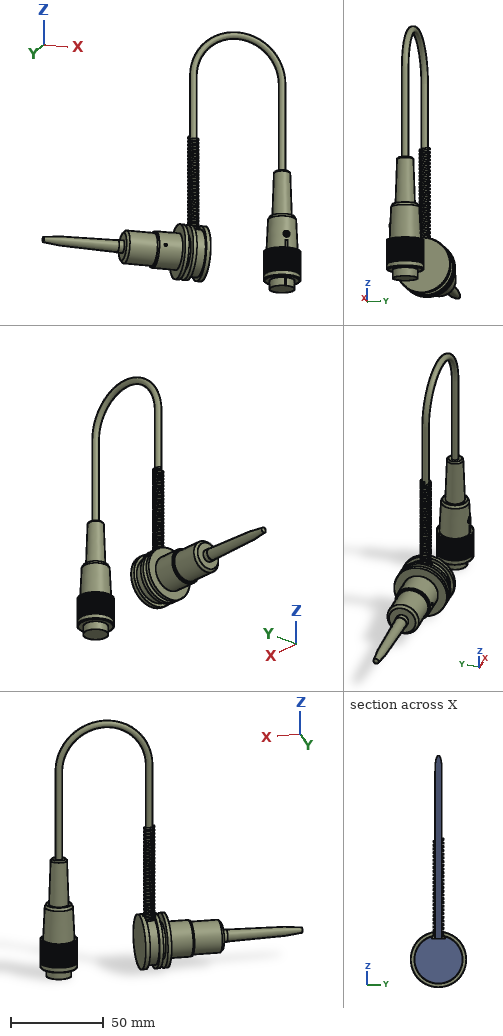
import cadquery as cq
import math


TIP_DIA = 3.0
TIP_DOME_HEIGHT = 0.5
POINT_LENGTH = 10.0
POINT_DIA = 5.0
TAPER_END_X = 42.1
TAPER_END_DIA = 6.7
SHANK_DIA = 7.0

NOSE_X = 45.0
NOSE_DIA = 18.0
NOSE_CHAMFER = 1.5
BARREL_X = 61.9
BARREL_DIA = 20.0
BARREL_CHAMFER_LENGTH = 0.9
BARREL_CHAMFER = 0.3
FLANGE_DIA = 30.0
DRUM_DIA = 26.0
FRONT_FLANGE_X = 75.8
MIDDLE_FLANGE_X = 80.3
THIN_FLANGE = 2.0
REAR_FLANGE_X = 87.7
HANDLE_END_X = 90.1
MARK_HOLE_DIA = 1.5
MARK_HOLE_X = 66.3
MARK_HOLE_DEPTH = 1.5

CABLE_DIA = 3.8
CABLE_X = 84.8
WIRE_DIA = 1.0
SPRING_GAP = 0.03
SPRING_PITCH = 2 * WIRE_DIA
SPRING_TOP_Z = 65.5
SOCKET_DIA = 7.0
SOCKET_FLOOR_Z = 11.3
CABLE_TOP_Z = 126.7

OVERALL_LENGTH = 144.7
NUT_DIA = 20.0
PLUG_X = OVERALL_LENGTH - NUT_DIA / 2
PLUG_BOTTOM_Z = -15.8
SPIGOT_DIA = 13.6
SHELL_BASE_Z = 4.9
SHELL_BASE_DIA = 17.1
SHELL_TOP_Z = 24.7
SHELL_EDGE_DIA = 15.3
SHELL_TOP_DIA = 13.6
SHELL_EDGE_DROP = 1.6
TAIL_BASE_DIA = 10.7
TAIL_TOP_Z = 50.4
TAIL_EDGE_DIA = 9.0
TAIL_TOP_DIA = 7.2
TAIL_EDGE_DROP = 0.9
CABLE_ENTRY_DEPTH = 2.9
KEY_WIDTH = 0.6
KEY_DEPTH = 0.6
KEY_BOTTOM_Z = -15.0
POINTER_WIDTH = 1.2
POINTER_TOP_Z = 9.5
POINTER_DEPTH = 0.5
SCREW_DIA = 3.5
SCREW_Z = 13.0
SCREW_RISE = 0.1
SCREW_SLOT = 0.7
SCREW_SLOT_DEPTH = 0.5
SCREW_LENGTH = 4.3

NUT_BOTTOM_Z = -11.1
NUT_CHAMFER = 0.6
KNURL_BOTTOM_Z = -8.1
KNURL_COUNT = 84
KNURL_DEPTH = 0.22
PLAIN_STRIP_TOP_Z = 3.6

CABLE_RADIUS = CABLE_DIA / 2
BEND_RADIUS = (PLUG_X - CABLE_X) / 2
BEND_Z = CABLE_TOP_Z - CABLE_RADIUS - BEND_RADIUS


def make_probe():
    dome_radius = ((TIP_DIA / 2) ** 2 + TIP_DOME_HEIGHT**2) / (2 * TIP_DOME_HEIGHT)
    half_angle = math.asin(TIP_DIA / 2 / dome_radius) / 2
    dome_middle = (dome_radius * (1 - math.cos(half_angle)), dome_radius * math.sin(half_angle))
    profile = (
        cq.Workplane("XY")
        .threePointArc(dome_middle, (TIP_DOME_HEIGHT, TIP_DIA / 2))
        .lineTo(POINT_LENGTH, POINT_DIA / 2)
        .lineTo(TAPER_END_X, TAPER_END_DIA / 2)
        .lineTo(TAPER_END_X, SHANK_DIA / 2)
        .lineTo(NOSE_X, SHANK_DIA / 2)
        .lineTo(NOSE_X, 0)
        .close()
    )
    return profile.revolve(360, (0, 0, 0), (1, 0, 0))


def x_cylinder(diameter, start, end):
    return cq.Workplane("YZ", origin=(start, 0, 0)).circle(diameter / 2).extrude(end - start)


def z_cylinder(x, diameter, bottom, top):
    return cq.Workplane("XY", origin=(x, 0, bottom)).circle(diameter / 2).extrude(top - bottom)


def make_handle():
    nose = x_cylinder(NOSE_DIA, NOSE_X, BARREL_X).faces("<X").chamfer(NOSE_CHAMFER)
    barrel = x_cylinder(BARREL_DIA, BARREL_X, HANDLE_END_X)
    barrel = barrel.faces("<X").chamfer(BARREL_CHAMFER_LENGTH, BARREL_CHAMFER)
    handle = nose.union(barrel)
    handle = handle.union(x_cylinder(DRUM_DIA, MIDDLE_FLANGE_X, HANDLE_END_X))
    for start in (FRONT_FLANGE_X, MIDDLE_FLANGE_X):
        handle = handle.union(x_cylinder(FLANGE_DIA, start, start + THIN_FLANGE))
    handle = handle.union(x_cylinder(FLANGE_DIA, REAR_FLANGE_X, HANDLE_END_X))

    handle = handle.cut(z_cylinder(CABLE_X, SOCKET_DIA, SOCKET_FLOOR_Z, FLANGE_DIA / 2))

    mark_hole = (
        cq.Workplane("XZ", origin=(MARK_HOLE_X, -BARREL_DIA / 2, 0))
        .circle(MARK_HOLE_DIA / 2)
        .extrude(-MARK_HOLE_DEPTH)
    )
    return handle.cut(mark_hole)


def make_cable():
    path = (
        cq.Workplane("XZ", origin=(CABLE_X, 0, 0))
        .moveTo(0, SOCKET_FLOOR_Z)
        .lineTo(0, BEND_Z)
        .threePointArc((BEND_RADIUS, BEND_Z + BEND_RADIUS), (2 * BEND_RADIUS, BEND_Z))
        .lineTo(2 * BEND_RADIUS, TAIL_TOP_Z - CABLE_ENTRY_DEPTH)
    )
    start = cq.Workplane("XY", origin=(CABLE_X, 0, SOCKET_FLOOR_Z))
    return start.circle(CABLE_RADIUS).sweep(path)


def make_spring():
    wire_radius = WIRE_DIA / 2
    coil_radius = CABLE_RADIUS + SPRING_GAP + wire_radius
    top = SPRING_TOP_Z - wire_radius
    bottom = SOCKET_FLOOR_Z + wire_radius + SPRING_GAP
    height = top - bottom
    helix = cq.Wire.makeHelix(SPRING_PITCH, height, coil_radius)
    section = cq.Workplane("XZ").center(coil_radius, 0).circle(wire_radius)
    spring = section.sweep(cq.Workplane(obj=helix), isFrenet=True)
    turn = 180 - 360 * height / SPRING_PITCH
    return spring.rotate((0, 0, 0), (0, 0, 1), turn).translate((CABLE_X, 0, bottom))


def make_plug():
    profile = [
        (0, PLUG_BOTTOM_Z),
        (SPIGOT_DIA / 2, PLUG_BOTTOM_Z),
        (SPIGOT_DIA / 2, SHELL_BASE_Z),
        (SHELL_BASE_DIA / 2, SHELL_BASE_Z),
        (SHELL_EDGE_DIA / 2, SHELL_TOP_Z - SHELL_EDGE_DROP),
        (SHELL_TOP_DIA / 2, SHELL_TOP_Z),
        (TAIL_BASE_DIA / 2, SHELL_TOP_Z),
        (TAIL_EDGE_DIA / 2, TAIL_TOP_Z - TAIL_EDGE_DROP),
        (TAIL_TOP_DIA / 2, TAIL_TOP_Z),
        (0, TAIL_TOP_Z),
    ]
    plug = cq.Workplane("XZ").polyline(profile).close().revolve(360, (0, 0, 0), (0, 1, 0))
    plug = plug.cut(z_cylinder(0, CABLE_DIA, TAIL_TOP_Z - CABLE_ENTRY_DEPTH, TAIL_TOP_Z))

    key_height = NUT_BOTTOM_Z - KEY_BOTTOM_Z
    key = cq.Workplane("XY").box(KEY_WIDTH, 2 * KEY_DEPTH, key_height)
    plug = plug.cut(key.translate((0, -SPIGOT_DIA / 2, KEY_BOTTOM_Z + key_height / 2)))

    pointer_height = POINTER_TOP_Z - SHELL_BASE_Z
    pointer = cq.Workplane("XY").box(POINTER_WIDTH, 2 * POINTER_DEPTH, pointer_height)
    plug = plug.cut(pointer.translate((0, -SHELL_BASE_DIA / 2, SHELL_BASE_Z + pointer_height / 2)))

    taper = (SHELL_BASE_DIA - SHELL_EDGE_DIA) / 2 / (SHELL_TOP_Z - SHELL_EDGE_DROP - SHELL_BASE_Z)
    shell_radius = SHELL_BASE_DIA / 2 - taper * (SCREW_Z - SHELL_BASE_Z)
    face = cq.Workplane("XZ", origin=(0, -shell_radius - SCREW_RISE, SCREW_Z))
    plug = plug.union(face.circle(SCREW_DIA / 2).extrude(-SCREW_LENGTH))
    cross = face.rect(SCREW_DIA, SCREW_SLOT).extrude(-SCREW_SLOT_DEPTH)
    cross = cross.union(face.rect(SCREW_SLOT, SCREW_DIA).extrude(-SCREW_SLOT_DEPTH))
    return plug.cut(cross).translate((PLUG_X, 0, 0))


def knurl_groove(angle, bottom):
    section = cq.Workplane("XY", origin=(0, -NUT_DIA / 2, bottom)).polygon(4, 2 * KNURL_DEPTH)
    return section.extrude(SHELL_BASE_Z - bottom).rotate((0, 0, 0), (0, 0, 1), angle).val()


def make_nut():
    nut = z_cylinder(0, NUT_DIA, NUT_BOTTOM_Z, SHELL_BASE_Z).faces("<Z").chamfer(NUT_CHAMFER)
    nut = nut.cut(z_cylinder(0, SPIGOT_DIA, NUT_BOTTOM_Z, SHELL_BASE_Z))

    grooves = [knurl_groove(0, PLAIN_STRIP_TOP_Z)]
    for index in range(1, KNURL_COUNT):
        grooves.append(knurl_groove(index * 360 / KNURL_COUNT, KNURL_BOTTOM_Z))
    nut = nut.cut(cq.Workplane(obj=cq.Compound.makeCompound(grooves)))
    return nut.translate((PLUG_X, 0, 0))


probe = make_probe()
handle = make_handle()
cable = make_cable()
spring = make_spring()
plug = make_plug()
nut = make_nut()

bodies = [probe, handle, cable, spring, plug, nut]
result = cq.Compound.makeCompound([body.solids().val() for body in bodies])